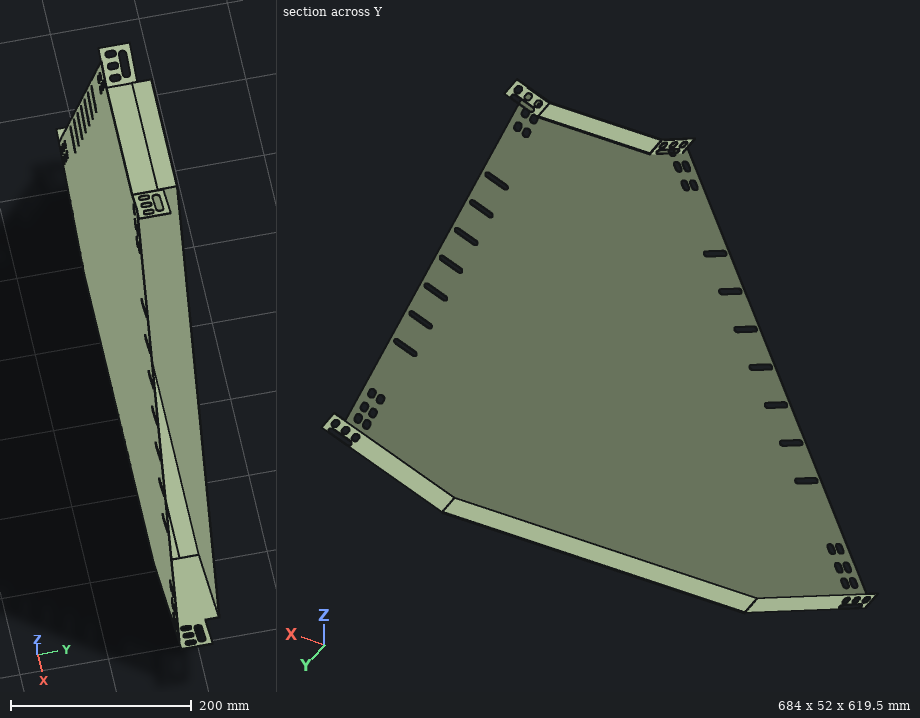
import cadquery as cq
import math


overall_length = 684.0
depth = 52.0
sheet = 1.0
half_bend_angle = math.radians(22.5)
tray_width = 601.5

lid_edge_u = 119.0
base_edge_u = 149.0
tab_tip_u = 164.0

lid_flange_depth = 22.5
straight_wall_depth = depth - lid_flange_depth
sloped_wall_depth = depth - sheet
tab_depth = 35.5

hole_length = 13.0
hole_width = 7.5
outer_hole_u = 137.5
inner_hole_u = 126.0
hole_distances = [16.0, 36.0, 61.0]

slot_length = 30.0
slot_width = 7.0
slot_u = 129.0
slot_count = 7
slot_pitch = 50.0

tab_center_u = 142.0
tab_slot_length = 30.0
tab_slot_width = 8.0
tab_slot_y = 25.0
tab_hole_length = 11.5
tab_hole_width = 7.0
tab_hole_y = 12.0
tab_hole_pitch = 14.0
tab_hole_count = 3

cos_a = math.cos(half_bend_angle)
sin_a = math.sin(half_bend_angle)
lower_half_width = overall_length / 2 - tab_tip_u * cos_a
miter = sheet * math.tan(half_bend_angle / 2)


def bend_point(u, v):
    """The (X, Z) place of bend coordinates (u, v) on the +X half."""
    return (lower_half_width + u * cos_a - v * sin_a, u * sin_a + v * cos_a)


upper_half_width, upper_z = bend_point(lid_edge_u, tray_width)


def prism(outline, y_start, y_end):
    """An (X, Z) outline filled from y_start to y_end."""
    return cq.Workplane("XZ", origin=(0, y_start, 0)).polyline(outline).close().extrude(y_start - y_end)


def symmetric_outline(right_points):
    """Closes the +X half of an outline with its mirror image."""
    return right_points + [(-x, z) for x, z in reversed(right_points)]


def both_sides(half):
    """The +X half joined with its mirror image."""
    return half.union(half.mirror("YZ"))


def base_plate():
    """Flat plate on the -Y side, reaching past the lid to base_edge_u."""
    outline = symmetric_outline([
        (lower_half_width, 0),
        bend_point(base_edge_u, 0),
        bend_point(base_edge_u, tray_width),
        (upper_half_width, upper_z),
    ])
    return prism(outline, 0, sheet)


def straight_walls():
    """Lower and upper walls across the middle, mitered to meet the sloped walls."""
    lower = symmetric_outline([(lower_half_width, 0), (lower_half_width - miter, sheet)])
    upper = symmetric_outline([(upper_half_width + miter, upper_z - sheet), (upper_half_width, upper_z)])
    return prism(lower, 0, straight_wall_depth).union(prism(upper, 0, straight_wall_depth))


def sloped_walls():
    """Full-depth lower end walls, each carrying a shallower tab, and the upper tabs."""
    wall = prism(
        [(lower_half_width, 0), bend_point(lid_edge_u, 0), bend_point(lid_edge_u, sheet), bend_point(miter, sheet)],
        0,
        sloped_wall_depth,
    )
    lower_tab = prism(
        [bend_point(lid_edge_u, 0), bend_point(tab_tip_u, 0), bend_point(tab_tip_u, sheet),
         bend_point(lid_edge_u, sheet)],
        0,
        tab_depth,
    )
    upper_tab = prism(
        [bend_point(lid_edge_u, tray_width), bend_point(tab_tip_u, tray_width),
         bend_point(tab_tip_u, tray_width - sheet), bend_point(lid_edge_u + miter, tray_width - sheet)],
        0,
        tab_depth,
    )
    return both_sides(wall.union(lower_tab).union(upper_tab))


def plate_openings():
    """Bolt holes and cross slots through the base plate."""
    x, z = bend_point(0, 0)
    face = cq.Workplane(cq.Plane(origin=(x, 0, z), xDir=(cos_a, 0, sin_a), normal=(0, -1, 0)))
    lower_holes = [(u, v) for u in (inner_hole_u, outer_hole_u) for v in hole_distances]
    upper_holes = [(u, tray_width - v) for u, v in lower_holes]
    upper_holes.remove((outer_hole_u, tray_width - hole_distances[0]))
    slot_span = (slot_count - 1) * slot_pitch
    first_slot_v = (tray_width - slot_span) / 2
    slots = [(slot_u, first_slot_v + i * slot_pitch) for i in range(slot_count)]
    holes = face.pushPoints(lower_holes + upper_holes).slot2D(hole_length, hole_width, 90).extrude(-sheet)
    cross_slots = face.pushPoints(slots).slot2D(slot_length, slot_width).extrude(-sheet)
    return both_sides(holes.union(cross_slots))


def tab_openings(inner_v):
    """One slot and a row of holes through the pair of tabs whose lower faces lie at inner_v."""
    x, z = bend_point(0, inner_v)
    face = cq.Workplane(cq.Plane(origin=(x, 0, z), xDir=(cos_a, 0, sin_a), normal=(-sin_a, 0, cos_a)))
    first_hole_u = tab_center_u - (tab_hole_count - 1) * tab_hole_pitch / 2
    hole_places = [(first_hole_u + i * tab_hole_pitch, tab_hole_y) for i in range(tab_hole_count)]
    slot = face.center(tab_center_u, tab_slot_y).slot2D(tab_slot_length, tab_slot_width).extrude(sheet)
    holes = face.pushPoints(hole_places).slot2D(tab_hole_length, tab_hole_width, 90).extrude(sheet)
    return both_sides(slot.union(holes))


def make_base():
    base = base_plate().union(straight_walls()).union(sloped_walls())
    return base.cut(plate_openings()).cut(tab_openings(0)).cut(tab_openings(tray_width - sheet))


def make_lid():
    """Plate resting on the sloped walls; its flanges end at the straight walls, one sheet outside them."""
    lid = prism(
        symmetric_outline([
            (lower_half_width, 0),
            bend_point(lid_edge_u, 0),
            (upper_half_width, upper_z),
        ]),
        depth - sheet,
        depth,
    )
    for half_width, z in ((lower_half_width, -sheet), (upper_half_width, upper_z)):
        flange = symmetric_outline([(half_width, z), (half_width, z + sheet)])
        lid = lid.union(prism(flange, straight_wall_depth, depth))
    return lid


base = make_base()
lid = make_lid()

result = cq.Compound.makeCompound([base.val(), lid.val()])